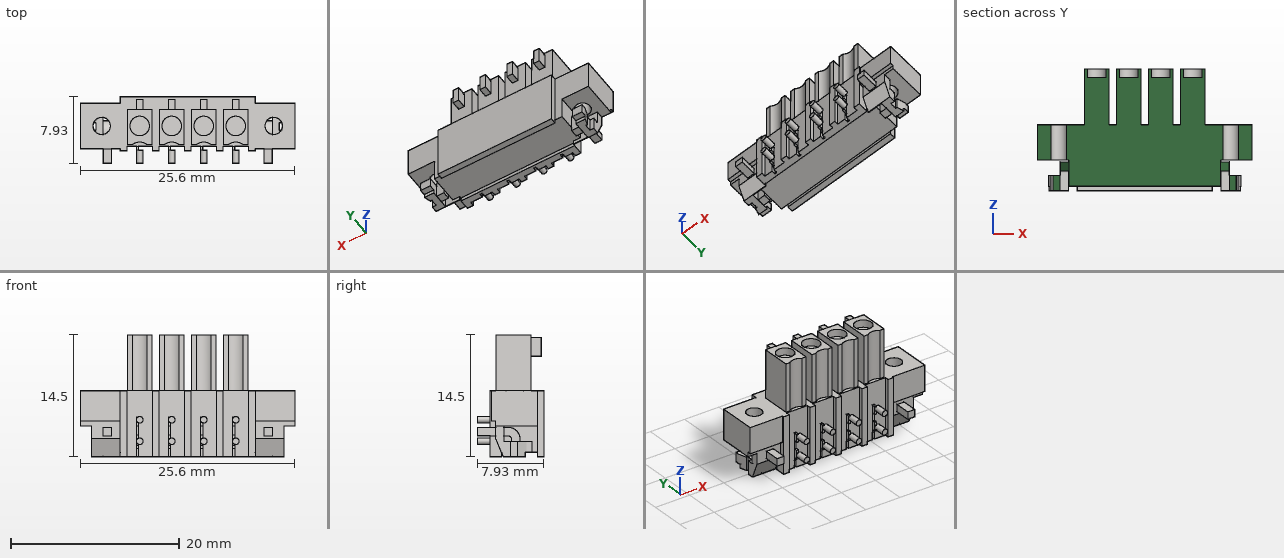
import cadquery as cq
import math


length = 25.55
total_height = 14.5
front_reach = 1.48

positions = 4
pitch = 3.8
position_x = [(i - (positions - 1) / 2) * pitch for i in range(positions)]

core_half_length = 8.05
core_back = 6.45
core_top = 7.9
panel_width = 3.01
panel_y = 0.54
channel_front = 1.4
channel_back = 5.67
channel_height = 0.54

tower_width = 2.94
tower_front = 0.75
tower_back = 4.9
tower_hole_diameter = 2.32
tower_hole_y = 2.95
tower_hole_depth = 1.0
groove_width = 1.75
groove_depth = 0.3
tab_width = 0.8
tab_back = 6.13
tab_bottom = 11.95
tab_top = 14.2

wing_front = 0.23
wing_back = channel_back
wing_bottom = 3.68
wing_step_z = 4.3
wing_step_y = 0.7
wing_hole_diameter = 2.05
wing_hole_x = 10.22
wing_hole_y = tower_hole_y

lower_half_length = 11.45
wall_back = 1.69
slope_top = 2.2
slope_foot_y = 1.6
latch_top = 1.85
latch_inner_x = 10.05
latch_back = 5.0
latch_notch_y = 4.25
slot_front = 2.45
slot_back = 3.32
slot_floor_x = 10.9
bevel_back = 4.4
bevel_depth = 0.33

clip_size = 1.02
clip_top = 3.52
clip_leg_back = 3.6
clip_inner_radius = 0.38
clip_outer_radius = clip_inner_radius + clip_size
clip_leg_front = clip_leg_back - clip_size
clip_bottom = clip_top - clip_size
clip_bend_y = clip_leg_back - clip_outer_radius
clip_bend_z = clip_top - clip_outer_radius

pin_diameter = 0.8
pin_radius = pin_diameter / 2
upper_pin_z = 4.42
lower_pin_z = 1.86
plate_thickness = 0.28
plate_bottom = 1.0
plate_top = 4.78
plate_back = 1.05
finger_front = 0.08
upper_finger_bottom = wing_bottom
lower_finger_bottom = 1.38
lower_finger_top = 2.6


def block(x0, x1, y0, y1, z0, z1):
    """Box between two opposite corners."""
    return cq.Workplane("XY").box(x1 - x0, y1 - y0, z1 - z0, centered=False).translate((x0, y0, z0))


def side_plane(x):
    """Sketch plane at x whose axes are Y and Z; a sketch on it extrudes toward +X."""
    return cq.Workplane("YZ", origin=(x, 0, 0))


def mirrored(body):
    """The same body at the opposite end of the row."""
    return body.mirror("YZ")


def make_tower(x):
    """Tower with a blind hole, a front groove and a tab at the back."""
    tower = block(x - tower_width / 2, x + tower_width / 2, tower_front, tower_back, 0, total_height)
    tab = block(x - tab_width / 2, x + tab_width / 2, tower_back, tab_back, tab_bottom, tab_top)
    groove = (
        cq.Workplane("XY", origin=(x, tower_front, core_top))
        .moveTo(-groove_width / 2, 0)
        .threePointArc((0, groove_depth), (groove_width / 2, 0))
        .close()
        .extrude(total_height - core_top)
    )
    hole = (
        cq.Workplane("XY", origin=(x, tower_hole_y, total_height - tower_hole_depth))
        .circle(tower_hole_diameter / 2)
        .extrude(tower_hole_depth)
    )
    return tower.cut(groove).cut(hole).union(tab)


def make_latch():
    """Plate below the left wing, seen from above, with a slot and a bevel in its outer face."""
    outer = -lower_half_length
    plate = (
        cq.Workplane("XY")
        .moveTo(-latch_inner_x, wall_back)
        .lineTo(outer, wall_back)
        .lineTo(outer, slot_front)
        .lineTo(-slot_floor_x, slot_front)
        .lineTo(-slot_floor_x, slot_back)
        .lineTo(outer + bevel_depth, slot_back)
        .lineTo(outer, bevel_back)
        .lineTo(outer, latch_back)
        .lineTo(-latch_inner_x, latch_back)
        .close()
        .extrude(latch_top)
    )
    notch = block(outer, -latch_inner_x, latch_notch_y, latch_back, 0, channel_height)
    return plate.cut(notch)


def make_wing():
    """Left wing with its mounting hole, front wall, latch plate and the cheek beside the clip."""
    head = (
        side_plane(-length / 2)
        .moveTo(wing_front, core_top)
        .lineTo(wing_front, wing_step_z)
        .lineTo(wing_step_y, wing_step_z)
        .lineTo(wing_step_y, wing_bottom)
        .lineTo(wing_back, wing_bottom)
        .lineTo(wing_back, core_top)
        .close()
        .extrude(length / 2 - core_half_length)
    )
    hole = (
        cq.Workplane("XY", origin=(-wing_hole_x, wing_hole_y, wing_bottom))
        .circle(wing_hole_diameter / 2)
        .extrude(core_top - wing_bottom)
    )
    wall = (
        side_plane(-lower_half_length)
        .moveTo(wing_step_y, wing_bottom)
        .lineTo(wing_step_y, slope_top)
        .lineTo(slope_foot_y, 0)
        .lineTo(wall_back, 0)
        .lineTo(wall_back, wing_bottom)
        .close()
        .extrude(lower_half_length - core_half_length)
    )
    cheek = block(
        -latch_inner_x + clip_size, -core_half_length, wall_back, wing_back, channel_height, wing_bottom
    )
    return head.cut(hole).union(wall).union(cheek).union(make_latch())


def make_core():
    """Central block with one recessed front panel per position."""
    core = block(-core_half_length, core_half_length, 0, core_back, 0, core_top)
    for x in position_x:
        core = core.cut(block(x - panel_width / 2, x + panel_width / 2, 0, panel_y, 0, core_top))
    return core


def make_housing(clips):
    """Core, wings and towers in one, with slots for the contacts and holes for the clips."""
    wing = make_wing()
    housing = make_core().union(wing).union(mirrored(wing))
    for x in position_x:
        housing = housing.union(make_tower(x))
    housing = housing.cut(
        block(-core_half_length, core_half_length, channel_front, channel_back, 0, channel_height)
    )
    for x in position_x:
        slot_left = x - pin_radius
        housing = housing.cut(
            block(slot_left, slot_left + plate_thickness, panel_y, plate_back, 0, plate_top)
        )
    for clip in clips:
        housing = housing.cut(clip)
    return housing


def make_contact(x):
    """Plate lying in a housing slot, with two fingers that each carry a round pin."""
    left = x - pin_radius
    right = left + plate_thickness
    contact = block(left, right, panel_y, plate_back, plate_bottom, plate_top)
    contact = contact.union(block(left, right, finger_front, panel_y, upper_finger_bottom, plate_top))
    contact = contact.union(block(left, right, finger_front, panel_y, lower_finger_bottom, lower_finger_top))
    for z in (upper_pin_z, lower_pin_z):
        pin = (
            cq.Workplane("XZ", origin=(x, finger_front, z))
            .circle(pin_radius)
            .extrude(finger_front + front_reach)
        )
        contact = contact.union(pin)
    return contact


def make_clip():
    """Square bar bent from a vertical leg below the left wing hole to a forward peg."""
    diagonal = math.sqrt(0.5)
    return (
        side_plane(-latch_inner_x)
        .moveTo(-front_reach, clip_bottom)
        .lineTo(-front_reach, clip_top)
        .lineTo(clip_bend_y, clip_top)
        .threePointArc(
            (clip_bend_y + clip_outer_radius * diagonal, clip_bend_z + clip_outer_radius * diagonal),
            (clip_leg_back, clip_bend_z),
        )
        .lineTo(clip_leg_back, 0)
        .lineTo(clip_leg_front, 0)
        .lineTo(clip_leg_front, clip_bend_z)
        .threePointArc(
            (clip_bend_y + clip_inner_radius * diagonal, clip_bend_z + clip_inner_radius * diagonal),
            (clip_bend_y, clip_bottom),
        )
        .close()
        .extrude(clip_size)
    )


left_clip = make_clip()
clips = [left_clip, mirrored(left_clip)]
contacts = [make_contact(x) for x in position_x]
housing = make_housing(clips)

result = cq.Compound.makeCompound(
    [housing.val()] + [contact.val() for contact in contacts] + [clip.val() for clip in clips]
)